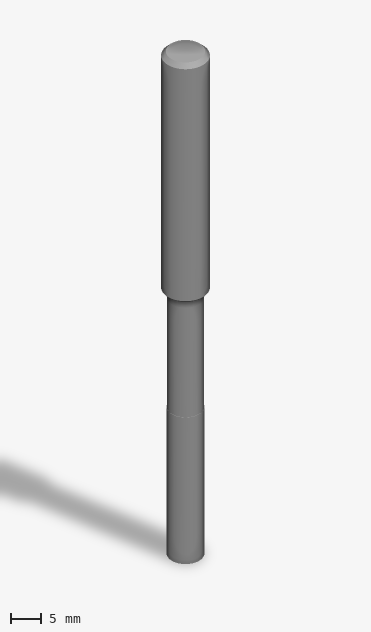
import cadquery as cq

TOTAL_LENGTH = 100.0
SHANK_DIAMETER = 8.0
NECK_DIAMETER = 6.1
CUTTER_DIAMETER = 6.2
CUTTER_LENGTH = 29.2
SHANK_LENGTH = 47.0
TOP_CHAMFER = 0.8
SHOULDER_CHAMFER = 0.6
FLARE_RADIUS = 2.8

SHANK_RADIUS = SHANK_DIAMETER / 2
NECK_RADIUS = NECK_DIAMETER / 2
SHOULDER_Z = TOTAL_LENGTH - SHANK_LENGTH
FLARE_TOP_RADIUS = SHANK_RADIUS - SHOULDER_CHAMFER
FLARE_TOP_Z = SHOULDER_Z - SHOULDER_CHAMFER
FLARE_WIDTH = FLARE_TOP_RADIUS - NECK_RADIUS
FLARE_HEIGHT = (FLARE_RADIUS**2 - (FLARE_RADIUS - FLARE_WIDTH)**2) ** 0.5
FLARE_BOTTOM_Z = FLARE_TOP_Z - FLARE_HEIGHT


def make_shank():
    """Chamfered shank tapering through a concave flare into the thinner neck."""
    return (
        cq.Workplane("XZ")
        .moveTo(0, CUTTER_LENGTH)
        .lineTo(NECK_RADIUS, CUTTER_LENGTH)
        .lineTo(NECK_RADIUS, FLARE_BOTTOM_Z)
        .radiusArc((FLARE_TOP_RADIUS, FLARE_TOP_Z), FLARE_RADIUS)
        .lineTo(SHANK_RADIUS, SHOULDER_Z)
        .lineTo(SHANK_RADIUS, TOTAL_LENGTH - TOP_CHAMFER)
        .lineTo(SHANK_RADIUS - TOP_CHAMFER, TOTAL_LENGTH)
        .lineTo(0, TOTAL_LENGTH)
        .close()
        .revolve(360, (0, 0, 0), (0, 1, 0))
    )


def make_cutter():
    """Plain cylindrical cutting end, butted against the lower face of the neck."""
    return cq.Workplane("XY").circle(CUTTER_DIAMETER / 2).extrude(CUTTER_LENGTH)


shank = make_shank()
cutter = make_cutter()

result = cq.Compound.makeCompound([shank.val(), cutter.val()])